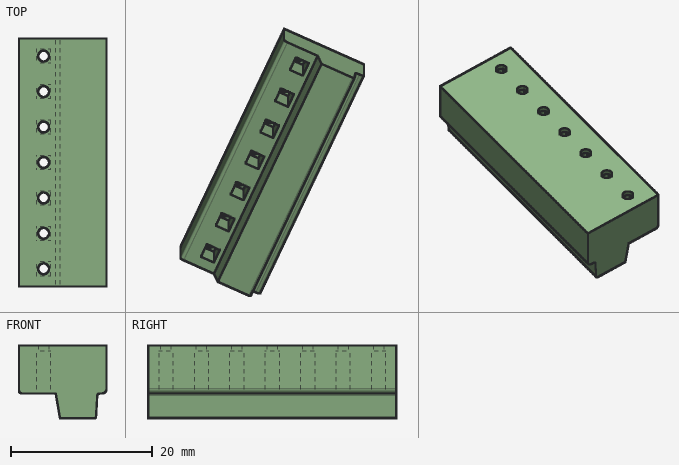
import cadquery as cq

width = 12.4
length = 35.0
height = 10.3
left_edge_radius = 0.5
right_edge_radius = 0.7

foot_height = 3.5
foot_root_left = 5.2
foot_root_right = 11.1
foot_tip_left = 5.8
foot_tip_right = 10.9
foot_root_radius = 0.3
foot_tip_radius = 0.3

hole_count = 7
hole_pitch = length / hole_count
hole_diameter = 1.5
hole_offset = 3.5
entry_depth = 0.8
chamber_side = 2.0


def round_edge(body, x, z, radius):
    """Fillet the lengthwise edge that passes through (x, z)."""
    edge = cq.selectors.NearestToPointSelector((x, length / 2, z))
    return body.edges("|Y").edges(edge).fillet(radius)


def make_body():
    """Extrude the block and foot profile along Y and round its lower edges."""
    profile = [
        (0, height),
        (0, foot_height),
        (foot_root_left, foot_height),
        (foot_tip_left, 0),
        (foot_tip_right, 0),
        (foot_root_right, foot_height),
        (width, foot_height),
        (width, height),
    ]
    body = cq.Workplane("XZ").polyline(profile).close().extrude(-length)
    body = round_edge(body, 0, foot_height, left_edge_radius)
    body = round_edge(body, width, foot_height, right_edge_radius)
    body = round_edge(body, foot_root_right, foot_height, foot_root_radius)
    return round_edge(body, foot_tip_right, 0, foot_tip_radius)


def make_holes():
    """Row of vertical cutters: a round entry over a square chamber open at the underside."""
    centers = [(hole_offset, (i + 0.5) * hole_pitch) for i in range(hole_count)]
    entries = cq.Workplane("XY").pushPoints(centers).circle(hole_diameter / 2).extrude(height)
    chamber_height = height - entry_depth
    chambers = cq.Workplane("XY").pushPoints(centers).rect(chamber_side, chamber_side)
    return entries.union(chambers.extrude(chamber_height))


result = make_body().cut(make_holes())